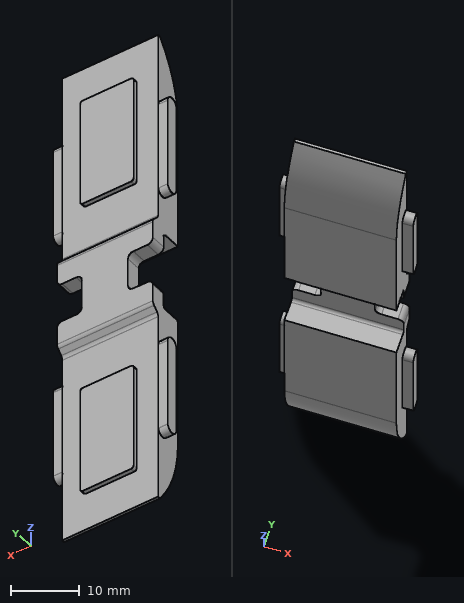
import cadquery as cq
import math

length = 88.0
half_length = length / 2

strip_width = 17.2
front_y = -3.2
blade_back_y = 1.85
bridge_front_y = 0.4
bridge_back_y = 3.2
step_z = 7.0
step_fillet = 0.5
ramp_start_z = 7.9
ramp_blend = 1.0
nose_radius = 22.0
tip_flat = 0.5

neck_width = 8.3
notch_height = 7.0
notch_fillet = 1.0

rail_span = 20.5
rail_length = 18.0
rail_thickness = 2.1
rail_y = 0.7
rail_z = 22.9

pad_width = 9.5
pad_length = 19.6
pad_thickness = 0.8
pad_corner = 0.4
pad_z = 27.4


def fillet_cross_edge(body, y, z, radius):
    """Round the edge that runs across the width at the given Y and Z."""
    return body.edges(cq.selectors.NearestToPointSelector((0, y, z))).fillet(radius)


def make_strip_half():
    """Upper half of the strip (Z >= 0): bridge, shoulder, blade and nose, extruded across the width."""
    tip_y = blade_back_y - tip_flat
    nose_center_y = front_y + nose_radius
    nose_start_z = half_length - math.sqrt(nose_radius**2 - (nose_center_y - tip_y) ** 2)
    nose_angle = math.acos((nose_center_y - tip_y) / nose_radius)
    nose_mid = (
        nose_center_y - nose_radius * math.cos(nose_angle / 2),
        nose_start_z + nose_radius * math.sin(nose_angle / 2),
    )
    ramp_end_z = ramp_start_z + bridge_back_y - blade_back_y
    half = (
        cq.Workplane("YZ")
        .moveTo(bridge_front_y, 0)
        .lineTo(bridge_front_y, step_z)
        .lineTo(front_y, step_z)
        .lineTo(front_y, nose_start_z)
        .threePointArc(nose_mid, (tip_y, half_length))
        .lineTo(blade_back_y, half_length)
        .lineTo(blade_back_y, ramp_end_z)
        .lineTo(bridge_back_y, ramp_start_z)
        .lineTo(bridge_back_y, 0)
        .close()
        .extrude(strip_width / 2, both=True)
    )
    half = fillet_cross_edge(half, bridge_front_y, step_z, step_fillet)
    half = fillet_cross_edge(half, blade_back_y, ramp_end_z, ramp_blend)
    return fillet_cross_edge(half, bridge_back_y, ramp_start_z, ramp_blend)


def make_notch(side):
    """Cutter for one side notch: rounded at the neck, flared at the open side."""
    neck_x = neck_width / 2
    side_x = strip_width / 2
    half_height = notch_height / 2
    bend = notch_fillet * (1 - math.sqrt(0.5))
    half = (
        cq.Workplane("XZ", origin=(0, bridge_back_y, 0))
        .moveTo(neck_x, 0)
        .lineTo(neck_x, half_height - notch_fillet)
        .threePointArc((neck_x + bend, half_height - bend), (neck_x + notch_fillet, half_height))
        .lineTo(side_x - notch_fillet, half_height)
        .threePointArc((side_x - bend, half_height + bend), (side_x, half_height + notch_fillet))
        .lineTo(side_x, 0)
        .close()
        .extrude(bridge_back_y - bridge_front_y)
    )
    notch = half.union(half.mirror("XY"))
    return notch if side > 0 else notch.mirror("YZ")


def make_rail_bar(end):
    """Obround bar whose two ends stand out of the blade as side rails."""
    return (
        cq.Workplane("YZ")
        .center(rail_y, end * rail_z)
        .slot2D(rail_length, rail_thickness, 90)
        .extrude(rail_span / 2, both=True)
    )


def make_strip():
    """Two mirrored halves joined at the bridge, with side notches and rails."""
    half = make_strip_half()
    strip = half.union(half.mirror("XY"))
    for side in (-1, 1):
        strip = strip.cut(make_notch(side))
    for end in (-1, 1):
        strip = strip.union(make_rail_bar(end))
    return strip.clean()


def make_pad(end):
    """Flat pad with rounded corners lying on the back face of one blade."""
    return (
        cq.Workplane("XY")
        .box(pad_width, pad_thickness, pad_length)
        .edges("|Y")
        .fillet(pad_corner)
        .translate((0, blade_back_y + pad_thickness / 2, end * pad_z))
    )


strip = make_strip()
pads = [make_pad(end) for end in (-1, 1)]

result = cq.Compound.makeCompound([strip.val(), *[pad.val() for pad in pads]])